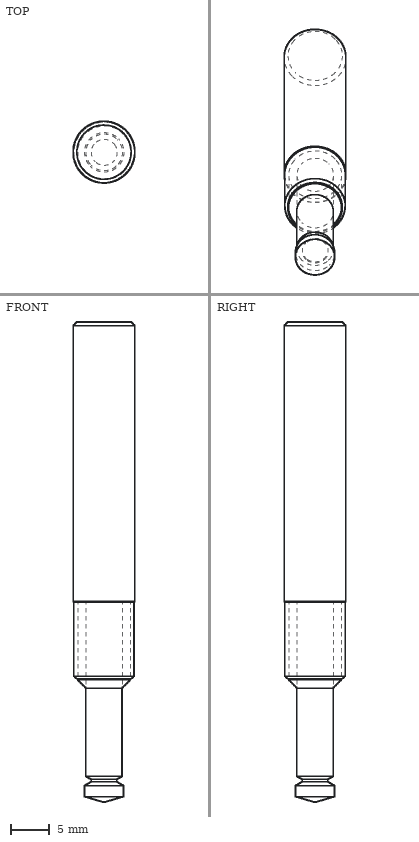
import cadquery as cq

total_height = 62.0
barrel_step = 25.85
barrel_shoulder = 16.3
shank_bottom = 3.35
head_top = 2.2
head_bottom = 0.75

barrel_radius = 8.0 / 2
barrel_lower_radius = 7.8 / 2
barrel_end_radius = 3.55
bushing_radius = 3.4
shank_radius = 4.7 / 2
neck_radius = 3.35 / 2
head_radius = 5.1 / 2

barrel_top_chamfer = 0.5
step_chamfer = barrel_radius - barrel_lower_radius
bushing_lip = 0.1
shank_taper_height = 0.4
head_slope_height = 0.5

barrel_bottom = barrel_shoulder - (barrel_lower_radius - barrel_end_radius)
bushing_taper_top = barrel_bottom - bushing_lip
bushing_bottom = bushing_taper_top - (bushing_radius - shank_radius)

bore_top = barrel_step


def revolve_profile(points):
    """Turn a closed (radius, height) outline about the Z axis."""
    return cq.Workplane("XZ").polyline(points).close().revolve(360, (0, 0), (0, 1))


def make_barrel():
    """Stepped barrel, closed at the top, with a blind bore and a tapered lower end."""
    return revolve_profile([
        (bushing_radius, barrel_bottom),
        (barrel_end_radius, barrel_bottom),
        (barrel_lower_radius, barrel_shoulder),
        (barrel_lower_radius, barrel_step),
        (barrel_radius, barrel_step + step_chamfer),
        (barrel_radius, total_height - barrel_top_chamfer),
        (barrel_radius - barrel_top_chamfer, total_height),
        (0, total_height),
        (0, bore_top),
        (bushing_radius, bore_top),
    ])


def make_bushing():
    """Bushing in the barrel bore, tapering down to the plunger shank."""
    return revolve_profile([
        (shank_radius, bushing_bottom),
        (bushing_radius, bushing_taper_top),
        (bushing_radius, bore_top),
        (shank_radius, bore_top),
    ])


def make_plunger():
    """Plunger with a straight shank, a narrow neck and a head with a conical point."""
    return revolve_profile([
        (0, 0),
        (head_radius, head_bottom),
        (head_radius, head_top),
        (neck_radius, head_top + head_slope_height),
        (neck_radius, shank_bottom - shank_taper_height),
        (shank_radius, shank_bottom),
        (shank_radius, bore_top),
        (0, bore_top),
    ])


barrel = make_barrel()
bushing = make_bushing()
plunger = make_plunger()

result = cq.Compound.makeCompound([barrel.val(), bushing.val(), plunger.val()])